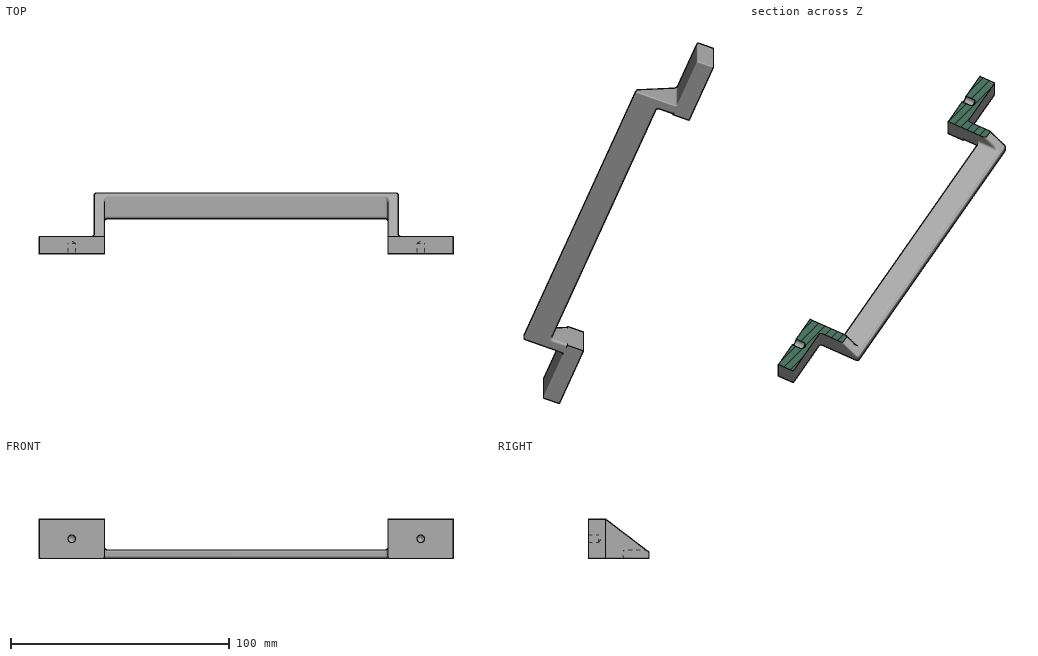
import cadquery as cq
import math

length = 190.0
depth = 28.0
height = 18.0

foot_width = 30.0
foot_depth = 8.0
arm_thickness = 4.8
slope_start = foot_depth
rear_height = 2.8

bar_width = 12.0
bar_height = 4.0

round_radius = 1.1
outer_radius = 0.5

hole_diameter = 3.5
hole_depth = 4.8
hole_tip_angle = 118.0

half_length = length / 2
inner_x = half_length - foot_width
arm_outer_x = inner_x + arm_thickness
bar_front = depth - bar_width
tolerance = 0.02
slope_tolerance = 0.2


def block(x_min, x_max, y_min, y_max, top):
    """Box standing on Z = 0."""
    return (
        cq.Workplane("XY")
        .box(x_max - x_min, y_max - y_min, top, centered=False)
        .translate((x_min, y_min, 0))
    )


def side_prism():
    """Full-length envelope with a sloping top behind the feet."""
    return (
        cq.Workplane("YZ")
        .polyline([(0, 0), (depth, 0), (depth, rear_height), (slope_start, height), (0, height)])
        .close()
        .extrude(half_length, both=True)
    )


def pick_edges(shape, is_wanted):
    """Select the edges that satisfy a test on the edge's bounding box and centre."""
    wanted = [edge for edge in shape.edges().vals() if is_wanted(edge.BoundingBox(), edge.Center())]
    return shape.newObject(wanted)


def lies_at(x, box):
    """True for an edge lying in the plane at distance x on either side of the middle."""
    return box.xlen < tolerance and abs(abs(box.center.x) - x) < tolerance


def slopes(box, center):
    """True for an edge whose centre is near the sloping top, behind the feet."""
    slope_z = height - (center.y - slope_start) * (height - rear_height) / (depth - slope_start)
    behind_foot = box.ymax > foot_depth + tolerance
    return behind_foot and box.zmax > rear_height - tolerance and abs(center.z - slope_z) < slope_tolerance


def is_inner(box, center):
    """True for an edge on the inside of the U formed by the bar and arms."""
    return abs(center.x) < inner_x + tolerance and box.ymax < depth - round_radius


def is_outer(box, center):
    """True for an edge on the outside of the U, including the back of the feet."""
    beside_arm = abs(center.x) > arm_outer_x - round_radius
    return box.ymin > depth - round_radius - tolerance or (beside_arm and box.ymax > foot_depth - tolerance)


def grip_frame():
    """Bar and two arms, rounded along the inside of the U."""
    frame = block(-arm_outer_x, arm_outer_x, bar_front, depth, bar_height)
    for side in (-1, 1):
        arm_x = sorted((side * inner_x, side * arm_outer_x))
        frame = frame.union(block(*arm_x, 0, depth, height))

    frame = pick_edges(
        frame.clean(),
        lambda box, center: abs(center.x) < tolerance
        and abs(center.y - bar_front) < tolerance
        and abs(center.z - bar_height) < tolerance,
    ).fillet(round_radius)

    frame = pick_edges(
        frame,
        lambda box, center: lies_at(inner_x, box)
        and box.ymin > bar_front - tolerance
        and tolerance < box.zmax < bar_height + tolerance,
    ).fillet(round_radius)

    frame = frame.intersect(side_prism())
    frame = pick_edges(
        frame, lambda box, center: is_inner(box, center) and box.zmax < tolerance
    ).fillet(round_radius)
    frame = pick_edges(
        frame, lambda box, center: is_inner(box, center) and slopes(box, center)
    ).fillet(round_radius)
    return frame


def handle_body():
    """Grip frame on two feet, rounded along the outside of the U."""
    body = grip_frame()
    for side in (-1, 1):
        foot_x = sorted((side * inner_x, side * half_length))
        body = body.union(block(*foot_x, 0, foot_depth, height))
    body = body.clean()

    body = pick_edges(
        body,
        lambda box, center: lies_at(arm_outer_x, box)
        and box.zlen > rear_height - tolerance
        and box.ylen < tolerance,
    ).fillet(round_radius)

    body = pick_edges(
        body,
        lambda box, center: (is_outer(box, center) and box.zmax < tolerance)
        or (lies_at(half_length, box) and box.ymin > foot_depth - tolerance),
    ).fillet(outer_radius)
    body = pick_edges(
        body, lambda box, center: is_outer(box, center) and slopes(box, center)
    ).fillet(outer_radius)
    return body


def pilot_hole(x):
    """Drilled hole with a conical bottom, entering from the mounting face."""
    radius = hole_diameter / 2
    tip = radius / math.tan(math.radians(hole_tip_angle / 2))
    return (
        cq.Workplane("XY")
        .polyline([(0, 0), (radius, 0), (radius, hole_depth), (0, hole_depth + tip)])
        .close()
        .revolve(360, (0, 0, 0), (0, 1, 0))
        .translate((x, 0, height / 2))
    )


result = handle_body()
for side in (-1, 1):
    result = result.cut(pilot_hole(side * (half_length - foot_width / 2)))